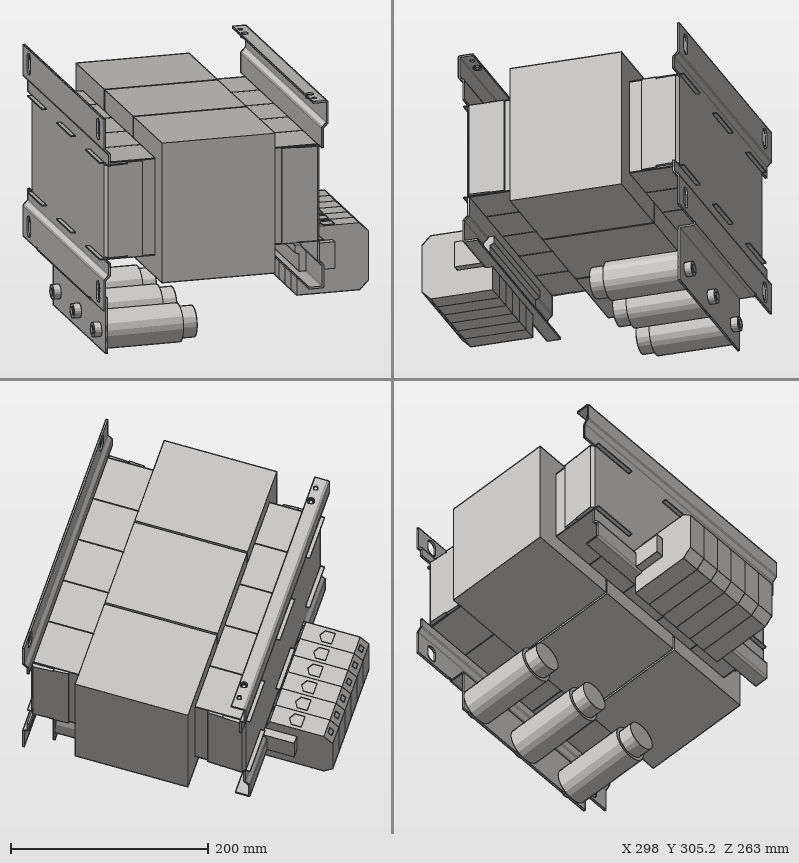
import cadquery as cq
import math


coil_count = 3
coil_pitch = 100.0
coil_gap = 2.0
coil_depth = 120.0
coil_height = 148.0

core_width = 250.0
core_half_depth = 112.0
core_half_height = 50.5
strip_count = 5
strip_pitch = core_width / strip_count
strip_gap = 0.2
strip_thickness = 1.0
tab_reach = 118.5
sheet_bottom_z = core_half_height + strip_thickness

flap_end_y = 74.0
flap_end_x = 127.2
flap_notch_y = 90.0
flap_x = 129.0
flap_bevel_depth = 3.0
front_flap_half_height = 48.7
back_flap_half_height = 50.0

sheet_thickness = 2.0
bend_inner_radius = 0.5
bend_outer_radius = bend_inner_radius + sheet_thickness
bracket_width = 280.0
lower_back_bracket_width = 252.0
bracket_outer_y = 119.0
bracket_joggle = 5.0
bracket_top_z = 101.3
front_joggle_z = 69.0
back_joggle_z = 77.5
back_flange_inner_y = 103.2
outer_mid_y = bracket_outer_y - sheet_thickness / 2
inner_mid_y = outer_mid_y - bracket_joggle
web_inner_y = inner_mid_y - sheet_thickness / 2

slot_x = 120.0
slot_z = 86.0
slot_width = 11.0
slot_length = 22.0
flange_hole_x = 128.0
flange_hole_diameter = 4.5
flange_hole_y = 108.0
bush_x = 112.5
bush_diameter = 8.5
flange_bush_hole = 7.0
bush_bore = 4.5
bush_drop = 2.0

carrier_width = 181.0
carrier_front_y = -102.0
carrier_root_z = -97.0
carrier_shelf_top_z = -101.7
part_bottom_z = -161.7
relief_width = 3.0
relief_height = 1.2
capacitor_count = 3
capacitor_pitch = 70.2
capacitor_diameter = 40.0
capacitor_z = part_bottom_z + capacitor_diameter / 2
capacitor_end_y = -19.0
cap_diameter = 32.6
cap_end_y = -3.4
stud_diameter = 15.0
stud_length = 7.5
stud_tip_diameter = 8.5
stud_tip_length = 1.2

terminal_count = 6
terminal_pitch = 20.3
terminal_gap = 0.1
terminal_outer_y = 186.2
terminal_inner_y = 110.0
terminal_top_z = -56.0
terminal_bottom_z = -127.0
terminal_chamfer = 9.5
terminal_top_inner_y = 119.0
terminal_slope_y = 114.5
rail_width = 138.5
rail_outer_y = 147.9
rail_top_z = -71.3
rail_bottom_z = -99.3
hook_y = 105.4
hook_bottom_z = -79.0
hook_root_z = -81.5
pocket_depth = 0.5
window_width = 6.0
window_length = 4.0
window_y = 181.1
arrow_width = 12.8
arrow_outer_y = 151.4
arrow_shoulder_y = 140.8
arrow_tip_y = 137.0


def box(x0, x1, y0, y1, z0, z1):
    return cq.Workplane("XY").box(x1 - x0, y1 - y0, z1 - z0, centered=False).translate((x0, y0, z0))


def centred_positions(count, pitch):
    return [(i - (count - 1) / 2) * pitch for i in range(count)]


def extrude_yz(points, width):
    return cq.Workplane("YZ").polyline(points).close().extrude(width / 2, both=True)


def cylinder_y(x, z, diameter, y0, y1):
    cylinder = cq.Workplane("XZ").circle(diameter / 2).extrude(y0 - y1)
    return cylinder.translate((x, y0, z))


def unit(start, end):
    dy = end[0] - start[0]
    dz = end[1] - start[1]
    length = math.hypot(dy, dz)
    return dy / length, dz / length


def bent_sheet(path, width):
    """Sheet of constant thickness along a (y, z) centre line, with rounded bends."""
    half = sheet_thickness / 2
    directions = [unit(a, b) for a, b in zip(path, path[1:])]
    left = []
    right = []
    bends = []
    for i, (y, z) in enumerate(path):
        before = directions[max(i - 1, 0)]
        after = directions[min(i, len(directions) - 1)]
        scale = half / (1 + before[0] * after[0] + before[1] * after[1])
        offset_y = -(before[1] + after[1]) * scale
        offset_z = (before[0] + after[0]) * scale
        left.append((y + offset_y, z + offset_z))
        right.append((y - offset_y, z - offset_z))
        if 0 < i < len(path) - 1:
            turns_left = before[0] * after[1] - before[1] * after[0] > 0
            inner, outer = (left[-1], right[-1]) if turns_left else (right[-1], left[-1])
            bends.append((inner, bend_inner_radius))
            bends.append((outer, bend_outer_radius))
    sheet = extrude_yz(left + right[::-1], width)
    for (y, z), radius in bends:
        sheet = sheet.edges("|X").edges(cq.NearestToPointSelector((0, y, z))).fillet(radius)
    return sheet


def make_core():
    """Core block and covering strips with protruding tabs."""
    core_x = core_width / 2
    core = box(-core_x, core_x, -core_half_depth, core_half_depth, -core_half_height, core_half_height)
    for i, x in enumerate(centred_positions(strip_count, strip_pitch)):
        reach = tab_reach if i % 2 == 0 else core_half_depth
        half = (strip_pitch - strip_gap) / 2
        for z in (-sheet_bottom_z, core_half_height):
            core = core.union(box(x - half, x + half, -reach, reach, z, z + strip_thickness))
    return core


def make_coils():
    half = (coil_pitch - coil_gap) / 2
    coils = cq.Workplane("XY")
    for x in centred_positions(coil_count, coil_pitch):
        coils = coils.union(
            box(x - half, x + half, -coil_depth / 2, coil_depth / 2, -coil_height / 2, coil_height / 2)
        )
    return coils


def make_end_plate(flap_half_height):
    """Front web between the brackets, with bevelled corners and flaps folded back along the core."""
    web_outer_y = web_inner_y + sheet_thickness
    web_x = core_width / 2
    bevel_y = web_outer_y - flap_bevel_depth
    flaps = (
        cq.Workplane("XY", origin=(0, 0, -core_half_height))
        .polyline(
            [
                (-web_x, -web_outer_y),
                (web_x, -web_outer_y),
                (flap_x, -bevel_y),
                (flap_end_x, -flap_end_y),
                (-flap_end_x, -flap_end_y),
                (-flap_x, -bevel_y),
            ]
        )
        .close()
        .extrude(2 * core_half_height)
    )
    notch_top = box(-flap_x, flap_x, -web_outer_y, -flap_notch_y, flap_half_height, core_half_height)
    flaps = flaps.cut(notch_top).cut(notch_top.mirror("XY"))
    web = box(-web_x, web_x, -web_outer_y, -web_inner_y, -sheet_bottom_z, sheet_bottom_z)
    return web.union(flaps)


def make_front_bracket():
    """Upper front bracket: joggled strip with two upright slots."""
    bracket = bent_sheet(
        [
            (-inner_mid_y, sheet_bottom_z),
            (-inner_mid_y, front_joggle_z - bracket_joggle),
            (-outer_mid_y, front_joggle_z),
            (-outer_mid_y, bracket_top_z),
        ],
        bracket_width,
    )
    slots = (
        cq.Workplane("XZ")
        .pushPoints([(-slot_x, slot_z), (slot_x, slot_z)])
        .slot2D(slot_length, slot_width, 90)
        .extrude(bracket_outer_y)
    )
    return bracket.cut(slots)


def make_back_bracket(width):
    """Upper back bracket: joggled strip with an inward flange at its free edge."""
    return bent_sheet(
        [
            (inner_mid_y, sheet_bottom_z),
            (inner_mid_y, back_joggle_z - bracket_joggle),
            (outer_mid_y, back_joggle_z),
            (outer_mid_y, bracket_top_z - sheet_thickness / 2),
            (back_flange_inner_y, bracket_top_z - sheet_thickness / 2),
        ],
        width,
    )


def add_flange_holes(bracket):
    """Plain holes and bored bushes at both ends of the upper back flange."""
    flange_bottom_z = bracket_top_z - sheet_thickness
    bush_bottom_z = flange_bottom_z - bush_drop
    flange = cq.Workplane("XY", origin=(0, flange_hole_y, bush_bottom_z))
    bush_points = [(-bush_x, 0), (bush_x, 0)]
    hole_points = [(-flange_hole_x, 0), (flange_hole_x, 0)]
    drill_length = bracket_top_z - bush_bottom_z
    bushes = flange.pushPoints(bush_points).circle(bush_diameter / 2).extrude(bush_drop)
    wide_holes = (
        cq.Workplane("XY", origin=(0, flange_hole_y, flange_bottom_z))
        .pushPoints(bush_points)
        .circle(flange_bush_hole / 2)
        .extrude(sheet_thickness)
    )
    bores = flange.pushPoints(bush_points).circle(bush_bore / 2).extrude(drill_length)
    holes = flange.pushPoints(hole_points).circle(flange_hole_diameter / 2).extrude(drill_length)
    return bracket.union(bushes).cut(wide_holes).cut(bores).cut(holes)


def make_capacitor_carrier():
    """Stepped plate hanging from the lower front bracket."""
    shelf_mid_z = carrier_shelf_top_z - sheet_thickness / 2
    plate_mid_y = carrier_front_y + sheet_thickness / 2
    return bent_sheet(
        [
            (-outer_mid_y, carrier_root_z),
            (-outer_mid_y, shelf_mid_z),
            (plate_mid_y, shelf_mid_z),
            (plate_mid_y, part_bottom_z),
        ],
        carrier_width,
    )


def cut_bend_reliefs(bracket):
    """Small notches in the lower front bracket beside the carrier plate."""
    for side in (-1, 1):
        x0, x1 = sorted((side * carrier_width / 2, side * (carrier_width / 2 + relief_width)))
        bracket = bracket.cut(
            box(x0, x1, -bracket_outer_y, -web_inner_y, -bracket_top_z, -bracket_top_z + relief_height)
        )
    return bracket


def make_capacitor(x):
    """Can, end cap and fixing stud on one axis along Y."""
    plate_back_y = carrier_front_y + sheet_thickness
    stud_end_y = carrier_front_y - stud_length
    can = cylinder_y(x, capacitor_z, capacitor_diameter, plate_back_y, capacitor_end_y)
    cap = cylinder_y(x, capacitor_z, cap_diameter, capacitor_end_y, cap_end_y)
    stud = cylinder_y(x, capacitor_z, stud_diameter, stud_end_y, carrier_front_y)
    tip = cylinder_y(x, capacitor_z, stud_tip_diameter, stud_end_y - stud_tip_length, stud_end_y)
    return can.union(cap).union(stud).union(tip)


def make_terminal():
    """One terminal block centred on X, with a window and an arrow pocket."""
    block = extrude_yz(
        [
            (terminal_inner_y, terminal_bottom_z),
            (terminal_outer_y - terminal_chamfer, terminal_bottom_z),
            (terminal_outer_y, terminal_bottom_z + terminal_chamfer),
            (terminal_outer_y, terminal_top_z - terminal_chamfer),
            (terminal_outer_y - terminal_chamfer, terminal_top_z),
            (terminal_top_inner_y, terminal_top_z),
            (terminal_slope_y, rail_top_z),
            (terminal_inner_y, rail_top_z),
        ],
        terminal_pitch - terminal_gap,
    )
    half = arrow_width / 2
    arrow = (
        cq.Workplane("XY", origin=(0, 0, terminal_top_z - pocket_depth))
        .polyline(
            [
                (-half, arrow_outer_y),
                (half, arrow_outer_y),
                (half, arrow_shoulder_y),
                (0, arrow_tip_y),
                (-half, arrow_shoulder_y),
            ]
        )
        .close()
        .extrude(pocket_depth)
    )
    chamfer_z = terminal_top_z - (window_y - (terminal_outer_y - terminal_chamfer))
    window = (
        cq.Workplane("XY")
        .box(window_width, window_length * math.sqrt(2), 2 * pocket_depth)
        .rotate((0, 0, 0), (1, 0, 0), -45)
        .translate((0, window_y, chamfer_z))
    )
    return block.cut(arrow).cut(window)


def make_terminal_row():
    """Rail with a hooked edge, carrying the row of terminal blocks."""
    row = extrude_yz(
        [
            (rail_outer_y, rail_top_z),
            (hook_y, rail_top_z),
            (hook_y, hook_bottom_z),
            (terminal_inner_y, hook_root_z),
            (terminal_inner_y, rail_bottom_z),
            (rail_outer_y, rail_bottom_z),
        ],
        rail_width,
    )
    terminal = make_terminal()
    for x in centred_positions(terminal_count, terminal_pitch):
        row = row.union(terminal.translate((x, 0, 0)))
    return row


front_bracket = make_front_bracket()
upper_back_bracket = add_flange_holes(make_back_bracket(bracket_width))
lower_back_bracket = make_back_bracket(lower_back_bracket_width).mirror("XY")

result = make_core().union(make_coils())
result = result.union(make_end_plate(front_flap_half_height))
result = result.union(make_end_plate(back_flap_half_height).mirror("XZ"))
result = result.union(front_bracket).union(cut_bend_reliefs(front_bracket.mirror("XY")))
result = result.union(upper_back_bracket).union(lower_back_bracket)
result = result.union(make_capacitor_carrier())
for capacitor_x in centred_positions(capacitor_count, capacitor_pitch):
    result = result.union(make_capacitor(capacitor_x))
result = result.union(make_terminal_row())